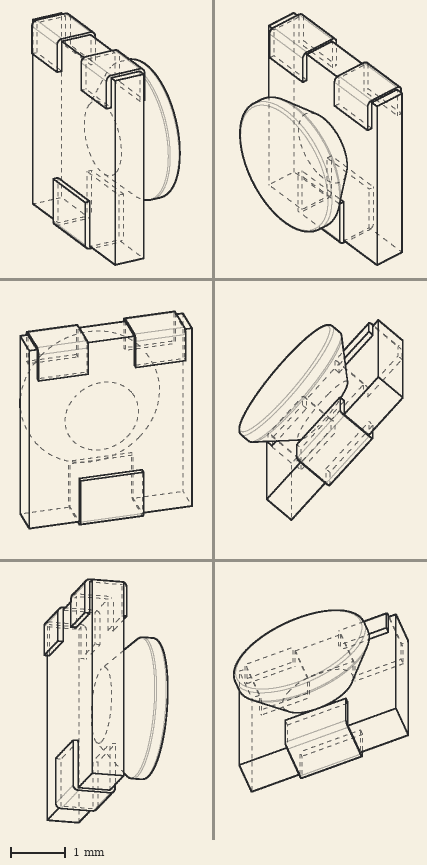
import cadquery as cq

board_width = 3.1
board_thickness = 0.6
overall_height = 3.8

clip_side_wall = 0.1
clip_end_wall = 0.05
clip_bend_radius = 0.1
top_clip_width = 0.95
top_clip_length = 0.65
top_clip_inset = 0.15
bottom_clip_width = 1.2
bottom_clip_length = 0.95

rim_radius = 1.3
rim_thickness = 0.25
rim_fillet = 0.05
stem_root_radius = 0.7
button_depth = 0.92
button_center_z = -0.05

board_height = overall_height - 2 * clip_end_wall
top_clip_x = board_width / 2 - top_clip_inset - top_clip_width / 2


def make_board():
    return cq.Workplane("XY").box(
        board_width, board_thickness, board_height
    ).translate((0, board_thickness / 2, 0))


def make_clip(width, length, center_x, end):
    """Wrap around one board edge: end is 1 for the top edge, -1 for the bottom."""
    depth = board_thickness + 2 * clip_side_wall
    center_z = end * (overall_height - length) / 2
    outer_edges = ">Z and |X" if end > 0 else "<Z and |X"
    return (
        cq.Workplane("XY")
        .box(width, depth, length)
        .edges(outer_edges)
        .fillet(clip_bend_radius)
        .translate((center_x, board_thickness / 2, center_z))
    )


def make_button():
    """Revolve the half profile about the Y direction, then round the rim edges."""
    back_y = board_thickness + button_depth
    rim_front_y = back_y - rim_thickness
    profile = (
        cq.Workplane("XY")
        .moveTo(0, board_thickness)
        .lineTo(stem_root_radius, board_thickness)
        .lineTo(rim_radius, rim_front_y)
        .lineTo(rim_radius, back_y)
        .lineTo(0, back_y)
        .close()
    )
    button = profile.revolve(360, (0, 0, 0), (0, 1, 0))
    rim_edges = cq.selectors.RadiusNthSelector(-1)
    return button.edges(rim_edges).fillet(rim_fillet).translate((0, 0, button_center_z))


result = make_board().union(make_button())
for side in (-1, 1):
    result = result.union(make_clip(top_clip_width, top_clip_length, side * top_clip_x, 1))
result = result.union(make_clip(bottom_clip_width, bottom_clip_length, 0, -1))